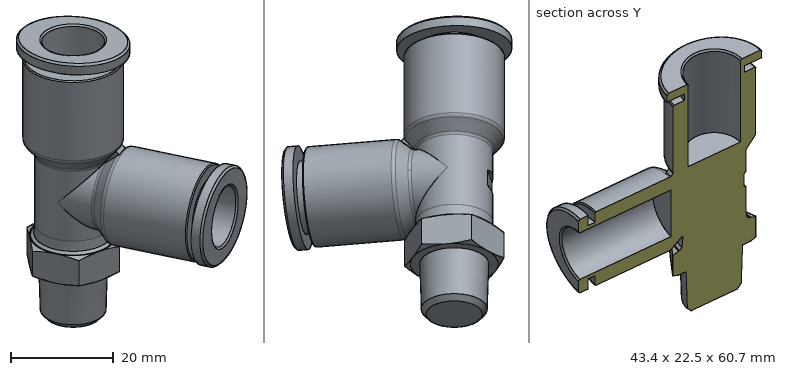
import cadquery as cq
import math

height = 60.65
branch_z = 28.45
overall_x = 43.4

ring_long_diameter = 22.5
ring_long_radius = ring_long_diameter / 2
ring_short_radius = 9.8
ring_thickness = 2.3
ring_edge_chamfer = 0.4
neck_radius = 7.15
body_radius = 9.8
body_start = 3.9
body_rim_chamfer = 0.25
shoulder_start = 21.9
shoulder_end = 24.7
shoulder_outer_fillet = 1.2
shoulder_inner_fillet = 1.0
bore_radius = 6.1
bore_chamfer = 0.35
bore_depth = shoulder_start

run_length = height - branch_z
branch_length = overall_x - ring_long_radius

stem_radius = 7.5
collar_radius = 7.7
collar_top = 20.2
collar_bottom = 18.0
collar_foot_radius = 8.3

hex_bottom = 11.05
hex_top = 17.5
hex_flats = 17.05
hex_chamfer_angle = 20.0
thread_top_radius = 6.75
thread_end_radius = 6.4
thread_chamfer_height = 1.1
thread_tip_radius = 5.45

web_thickness = 3.05
web_short_side = 9.2
web_long_side = 10.9

notch_face_x = -7.05
notch_height = 3.15
notch_z = 28.15


def revolve_profile(points):
    """Turn (radius, z) points, closed along the axis, into a solid of revolution about Z."""
    return cq.Workplane("XZ").polyline(points).close().revolve(360, (0, 0), (0, 1))


def round_circle(solid, z, radius):
    """Fillet the circular edge lying at height z."""
    tolerance = 0.05
    circles = [edge for edge in solid.edges("%CIRCLE").vals() if abs(edge.Center().z - z) < tolerance]
    return solid.newObject(circles).fillet(radius)


def make_port(length):
    """Port along +Z whose face is at z = length and whose stem reaches down to z = 0."""
    shoulder_top = length - shoulder_start
    shoulder_bottom = length - shoulder_end
    body_top = length - body_start
    body = revolve_profile([
        (0, 0),
        (stem_radius, 0),
        (stem_radius, shoulder_bottom),
        (body_radius, shoulder_top),
        (body_radius, body_top),
        (0, body_top),
    ])
    body = body.faces(">Z").edges().chamfer(body_rim_chamfer)
    body = round_circle(body, shoulder_top, shoulder_outer_fillet)
    body = round_circle(body, shoulder_bottom, shoulder_inner_fillet)
    neck = cq.Workplane("XY").workplane(offset=body_top).circle(neck_radius).extrude(body_start)
    ring = (
        cq.Workplane("XY").workplane(offset=length - ring_thickness)
        .ellipse(ring_long_radius, ring_short_radius).extrude(ring_thickness)
        .faces(">Z").edges().chamfer(ring_edge_chamfer)
    )
    return body.union(neck).union(ring)


def make_bore(length):
    """Blind tube socket with a chamfered mouth, opening at z = length."""
    return revolve_profile([
        (0, length - bore_depth),
        (bore_radius, length - bore_depth),
        (bore_radius, length - bore_chamfer),
        (bore_radius + bore_chamfer, length),
        (0, length),
    ])


def on_branch(solid):
    """Swing a solid built along +Z onto the branch axis, its long ring side along Y."""
    turned = solid.rotate((0, 0, 0), (0, 0, 1), 90).rotate((0, 0, 0), (0, 1, 0), 90)
    return turned.translate((0, 0, branch_z))


def on_run(solid):
    """Lift a solid built from the branch axis up along +Z."""
    return solid.translate((0, 0, branch_z))


def make_hexagon():
    """Hexagon with corners on the X axis and turned chamfers on both ends."""
    corner_radius = hex_flats / 2 / math.cos(math.radians(30))
    slope = math.tan(math.radians(hex_chamfer_angle))
    flat_radius = hex_flats / 2
    drop = (corner_radius - flat_radius) * slope
    blank = (
        cq.Workplane("XY").workplane(offset=hex_bottom)
        .polygon(6, 2 * corner_radius).extrude(hex_top - hex_bottom)
    )
    envelope = revolve_profile([
        (0, hex_bottom),
        (flat_radius, hex_bottom),
        (corner_radius, hex_bottom + drop),
        (corner_radius, hex_top - drop),
        (flat_radius, hex_top),
        (0, hex_top),
    ])
    return blank.intersect(envelope)


def make_lower_stem():
    """Stem below the branch axis with its collar."""
    return revolve_profile([
        (0, hex_top),
        (collar_foot_radius, hex_top),
        (collar_radius, collar_bottom),
        (stem_radius, collar_top),
        (stem_radius, branch_z),
        (0, branch_z),
    ])


def make_thread():
    """Plain tapered thread body with a chamfered tip."""
    return revolve_profile([
        (0, 0),
        (thread_tip_radius, 0),
        (thread_end_radius, thread_chamfer_height),
        (thread_top_radius, hex_bottom),
        (0, hex_bottom),
    ])


def make_notch():
    """Cutter with a flat floor and 45 degree end walls."""
    depth = stem_radius
    half = notch_height / 2
    outer_x = notch_face_x - depth
    return (
        cq.Workplane("XZ")
        .polyline([
            (notch_face_x, notch_z - half),
            (notch_face_x, notch_z + half),
            (outer_x, notch_z + half + depth),
            (outer_x, notch_z - half - depth),
        ])
        .close().extrude(stem_radius, both=True)
    )


def make_web():
    """Wedge in the XZ plane from the crossing of the axes, its outer edge at 45 degrees."""
    return (
        cq.Workplane("XZ")
        .polyline([
            (0, 0),
            (web_short_side, web_long_side),
            (web_long_side, web_short_side),
        ])
        .close().extrude(web_thickness / 2, both=True)
    )


stem = make_lower_stem().cut(make_notch())
run_port = on_run(make_port(run_length)).cut(make_notch())
result = stem.union(run_port).union(on_branch(make_port(branch_length)))
result = result.union(on_run(make_web())).union(make_hexagon()).union(make_thread())
result = result.cut(on_run(make_bore(run_length))).cut(on_branch(make_bore(branch_length)))